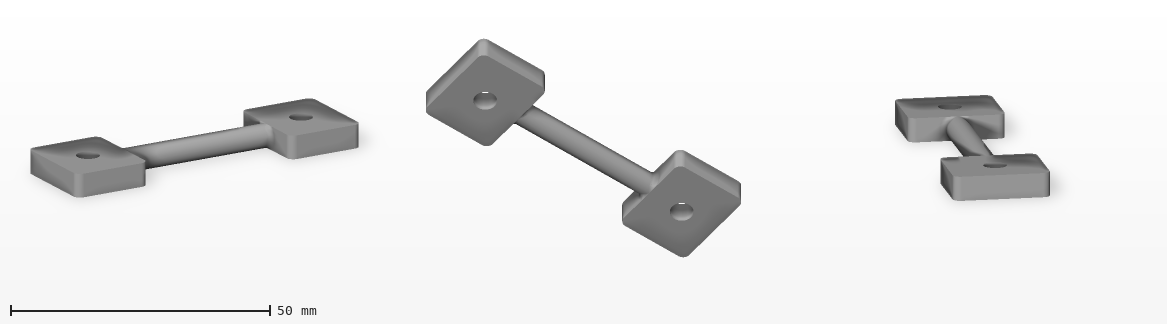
import cadquery as cq

plate_width = 19.05
plate_length = 15.875
plate_thickness = 4.8
corner_radius = 1.5
hole_diameter = 4.6

overall_length = 63.5
rod_clearance = 0.005
rod_diameter = plate_thickness - 2 * rod_clearance
rod_fillet = 1.0

plate_offset = (overall_length - plate_length) / 2
inner_face_y = overall_length / 2 - plate_length


def make_plate(center_y):
    """Plate with rounded corners and a through hole, centered at center_y."""
    blank = cq.Workplane("XY").box(plate_width, plate_length, plate_thickness)
    plate = blank.edges("|Z").fillet(corner_radius).faces(">Z").workplane().hole(hole_diameter)
    return plate.translate((0, center_y, 0))


def make_rod():
    """Round rod along Y that spans the gap between the plates."""
    return cq.Workplane("XZ").circle(rod_diameter / 2).extrude(inner_face_y, both=True)


def fillet_rod_ends(body):
    """Blend both ends of the rod into the plates' inner faces."""
    reach_y = inner_face_y + rod_fillet
    rod_zone = cq.selectors.BoxSelector(
        (-rod_diameter, -reach_y, -rod_diameter),
        (rod_diameter, reach_y, rod_diameter),
    )
    return body.edges("%CIRCLE").edges(rod_zone).fillet(rod_fillet)


dumbbell = make_rod()
for side in (-1, 1):
    dumbbell = dumbbell.union(make_plate(side * plate_offset))

result = fillet_rod_ends(dumbbell)